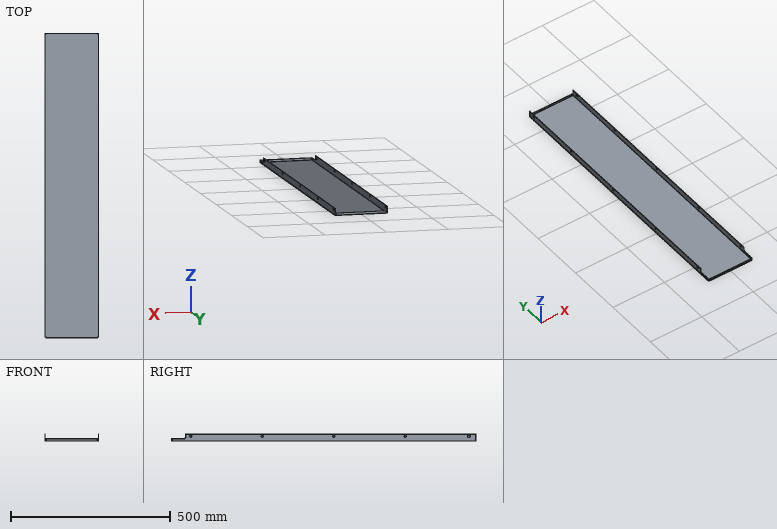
import cadquery as cq

length = 957.0
width = 169.0
wall_height = 22.0
sheet = 1.0

lip_height = 8.0
step_length = 44.0
step_radius = 5.0
corner_relief = 4.0
front_notch = 2.0

hole_diameter = 6.2
slot_length = 9.0
hole_height = 15.0
slot_from_back = 22.0
slot_to_hole = 200.0
hole_pitch = 225.0
hole_count = 4

front = -length / 2
back = length / 2
step_y = front + step_length


def tray_shell():
    """Floor with upright rims all round."""
    outer = cq.Workplane("XY").box(width, length, wall_height, centered=(True, True, False))
    inner = (
        cq.Workplane("XY", origin=(0, 0, sheet))
        .box(width - 2 * sheet, length - 2 * sheet, wall_height, centered=(True, True, False))
    )
    return outer.cut(inner)


def front_step():
    """Space above the front lip, with a rounded inner corner against the tall walls."""
    return (
        cq.Workplane("YZ")
        .moveTo(front, lip_height)
        .lineTo(step_y - step_radius, lip_height)
        .radiusArc((step_y, lip_height + step_radius), -step_radius)
        .lineTo(step_y, wall_height)
        .lineTo(front, wall_height)
        .close()
        .extrude(width / 2, both=True)
    )


def back_opening():
    """Space above the back lip, between the side walls."""
    return (
        cq.Workplane("XY", origin=(0, back, lip_height))
        .box(width - 2 * sheet, 2 * sheet, wall_height, centered=(True, True, False))
    )


def corner_reliefs():
    """Open front corners through the floor, and slits between the back lip and walls."""
    front_corners = (
        cq.Workplane("XY")
        .pushPoints([(-width / 2, front), (width / 2, front)])
        .rect(2 * corner_relief, 2 * front_notch)
        .extrude(wall_height)
    )
    gap_width = corner_relief - sheet
    gap_x = width / 2 - sheet - gap_width / 2
    back_gaps = (
        cq.Workplane("XY")
        .pushPoints([(-gap_x, back), (gap_x, back)])
        .rect(gap_width, 2 * sheet)
        .extrude(wall_height)
    )
    return front_corners.union(back_gaps)


def wall_holes():
    """One slot near the back and a row of round holes, through both side walls."""
    slot_y = back - slot_from_back
    first_hole_y = slot_y - slot_to_hole
    hole_centers = [(first_hole_y - i * hole_pitch, hole_height) for i in range(hole_count)]
    slot = (
        cq.Workplane("YZ")
        .center(slot_y, hole_height)
        .slot2D(slot_length, hole_diameter)
        .extrude(width, both=True)
    )
    holes = (
        cq.Workplane("YZ")
        .pushPoints(hole_centers)
        .circle(hole_diameter / 2)
        .extrude(width, both=True)
    )
    return slot.union(holes)


result = (
    tray_shell()
    .cut(front_step())
    .cut(back_opening())
    .cut(corner_reliefs())
    .cut(wall_holes())
)